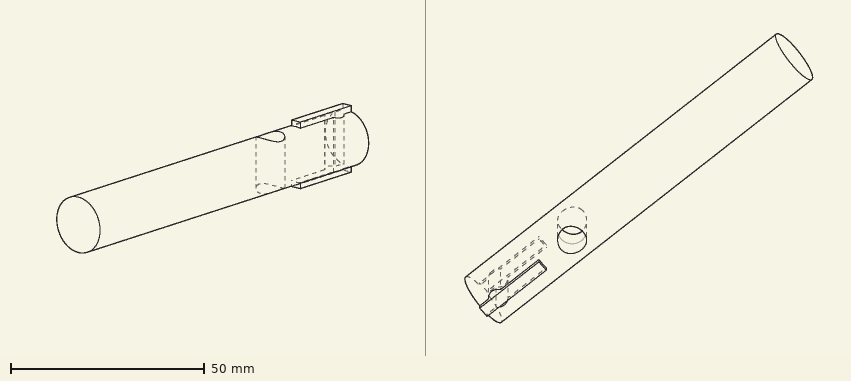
import cadquery as cq

ROD_DIAMETER = 15.0
ROD_LENGTH = 105.0

KEY_WIDTH = 3.0
KEY_LENGTH = 20.0
KEY_PROJECTION = 1.5
KEY_HEIGHT = ROD_DIAMETER + 2 * KEY_PROJECTION

PIN_HOLE_DIAMETER = 5.0
PIN_HOLE_SETBACK = 5.0
CROSS_HOLE_DIAMETER = 7.5
CROSS_HOLE_SETBACK = 30.0


def make_rod():
    """Plain round bar running from Y = 0 to Y = ROD_LENGTH."""
    return cq.Workplane("XZ").circle(ROD_DIAMETER / 2).extrude(-ROD_LENGTH)


def make_cross_hole(diameter, setback):
    """Vertical cutter passing right through the rod on its centreline."""
    return (
        cq.Workplane("XY")
        .center(0, ROD_LENGTH - setback)
        .circle(diameter / 2)
        .extrude(ROD_DIAMETER, both=True)
    )


def make_key():
    """Blade flush with the keyed end, symmetric about the rod axis."""
    key_center_y = ROD_LENGTH - KEY_LENGTH / 2
    return (
        cq.Workplane("XY")
        .box(KEY_WIDTH, KEY_LENGTH, KEY_HEIGHT)
        .translate((0, key_center_y, 0))
    )


drilled_rod = (
    make_rod()
    .cut(make_cross_hole(PIN_HOLE_DIAMETER, PIN_HOLE_SETBACK))
    .cut(make_cross_hole(CROSS_HOLE_DIAMETER, CROSS_HOLE_SETBACK))
)

result = drilled_rod.union(make_key())